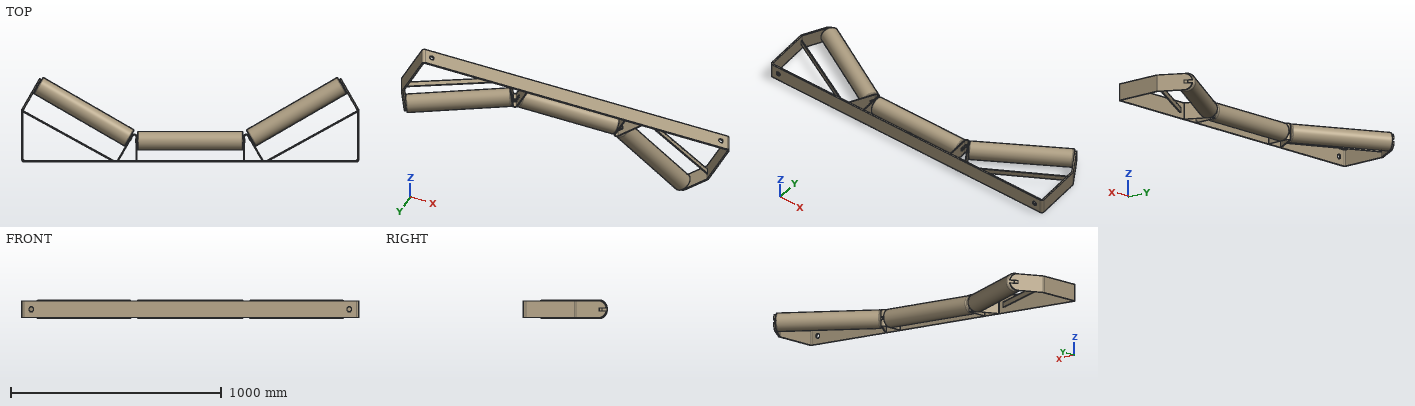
import cadquery as cq
import math


TOTAL_HEIGHT = 400.0

ROLLER_DIAMETER = 90.0
ROLLER_LENGTH = 500.0
ROLLER_EDGE_RADIUS = 5.0
ROLLER_GAP = 3.0
CENTER_AXIS_HEIGHT = 100.0
WING_ANGLE = 30.0
WING_CENTER_X = 504.0

STRIP_WIDTH = 80.0
FRAME_LENGTH = 1600.0
FRAME_THICKNESS = 8.0
BRACKET_THICKNESS = 5.0
BEND_RADIUS = 13.0
TIP_ABOVE_AXIS = 32.0
MOUNTING_HOLE_DIAMETER = 22.0
MOUNTING_HOLE_X = 754.0

SHAFT_WIDTH = 15.0
SHAFT_HEIGHT = 16.0
SHAFT_END_LENGTH = 10.0
SLOT_HEIGHT = 80.0
SHAFT_LENGTH = ROLLER_LENGTH + 2 * SHAFT_END_LENGTH
SLOT_LENGTH = ROLLER_LENGTH + 2 * (ROLLER_GAP + FRAME_THICKNESS)

BRACE_THICKNESS = 5.8
BRACE_WIDTH = 25.0
BRACE_TOP_Y = 243.0
BRACE_FOOT_X = 365.0

angle = math.radians(WING_ANGLE)
roller_end = ROLLER_LENGTH / 2

WING_CENTER_Y = (
    TOTAL_HEIGHT
    - ROLLER_EDGE_RADIUS
    - (roller_end - ROLLER_EDGE_RADIUS) * math.sin(angle)
    - (ROLLER_DIAMETER / 2 - ROLLER_EDGE_RADIUS) * math.cos(angle)
)


def wing_point(along, above):
    """Point on the left wing: distance along its roller axis from the middle, and above it."""
    return (
        -WING_CENTER_X + along * math.cos(angle) + above * math.sin(angle),
        WING_CENTER_Y - along * math.sin(angle) + above * math.cos(angle),
    )


def wing_point_at_x(along, x):
    """Point at the given X on the left wing's plate line, square to its axis."""
    above = (x - wing_point(along, 0)[0]) / math.sin(angle)
    return wing_point(along, above)


def wing_point_at_y(along, y):
    """Point at the given Y on the left wing's plate line, square to its axis."""
    above = (y - wing_point(along, 0)[1]) / math.cos(angle)
    return wing_point(along, above)


def mirrored(body):
    return body.mirror("YZ")


def on_wing(body):
    """Move a body from the origin, where its axis is X, to the left wing."""
    return body.rotate((0, 0, 0), (0, 0, 1), -WING_ANGLE).translate((-WING_CENTER_X, WING_CENTER_Y, 0))


def at_center(body):
    return body.translate((0, CENTER_AXIS_HEIGHT, 0))


def plate(points, width):
    return cq.Workplane("XY").polyline(points).close().extrude(width / 2, both=True)


def round_bend(body, outside, inside, thickness):
    """Round the outside and inside edges of one bend about a common axis."""
    for point, radius in ((outside, BEND_RADIUS), (inside, BEND_RADIUS - thickness)):
        body = body.edges(cq.selectors.NearestToPointSelector((*point, 0))).fillet(radius)
    return body


def slot_cutter():
    """Space for a shaft, open upwards."""
    return cq.Workplane("XY").box(SLOT_LENGTH, SLOT_HEIGHT, SHAFT_WIDTH).translate(
        (0, (SLOT_HEIGHT - SHAFT_HEIGHT) / 2, 0)
    )


def cut_slots(body):
    left_wing_slot = on_wing(slot_cutter())
    return body.cut(left_wing_slot).cut(mirrored(left_wing_slot)).cut(at_center(slot_cutter()))


frame_inner_along = -roller_end - ROLLER_GAP
frame_outer_along = frame_inner_along - FRAME_THICKNESS
wall_outer_x = -FRAME_LENGTH / 2
wall_inner_x = wall_outer_x + FRAME_THICKNESS


def make_frame():
    tip_outer = wing_point(frame_outer_along, TIP_ABOVE_AXIS)
    tip_inner = wing_point(frame_inner_along, TIP_ABOVE_AXIS)
    bend_outer = wing_point_at_x(frame_outer_along, wall_outer_x)
    bend_inner = wing_point_at_x(frame_inner_along, wall_inner_x)
    corner_outer = (wall_outer_x, 0)
    corner_inner = (wall_inner_x, FRAME_THICKNESS)

    left_half = [
        (0, 0), corner_outer, bend_outer, tip_outer,
        tip_inner, bend_inner, corner_inner, (0, FRAME_THICKNESS),
    ]
    half = plate(left_half, STRIP_WIDTH)
    half = round_bend(half, corner_outer, corner_inner, FRAME_THICKNESS)
    half = round_bend(half, bend_outer, bend_inner, FRAME_THICKNESS)

    tip_radius = STRIP_WIDTH / 2
    tip_square = cq.Workplane("YZ").rect(STRIP_WIDTH, STRIP_WIDTH).extrude(SLOT_LENGTH / 2, both=True)
    tip_square = tip_square.translate((0, tip_radius, 0))
    tip_round = cq.Workplane("YZ").circle(tip_radius).extrude(SLOT_LENGTH / 2, both=True)
    tip_waste = tip_square.cut(tip_round).translate((0, TIP_ABOVE_AXIS - tip_radius, 0))
    half = half.cut(on_wing(tip_waste))

    frame = half.union(mirrored(half))
    holes = (
        cq.Workplane("XZ")
        .pushPoints([(-MOUNTING_HOLE_X, 0), (MOUNTING_HOLE_X, 0)])
        .circle(MOUNTING_HOLE_DIAMETER / 2)
        .extrude(-FRAME_THICKNESS)
    )
    return cut_slots(frame.cut(holes))


def make_bracket():
    """Left bracket: an upright for the center roller bent over into a leaning leg for the wing roller."""
    upright_outer_x = -roller_end - ROLLER_GAP
    upright_inner_x = upright_outer_x - BRACKET_THICKNESS
    leg_outer_along = roller_end + ROLLER_GAP
    leg_inner_along = leg_outer_along + BRACKET_THICKNESS
    bend_outer = wing_point_at_x(leg_outer_along, upright_outer_x)
    bend_inner = wing_point_at_x(leg_inner_along, upright_inner_x)

    outline = [
        wing_point_at_y(leg_outer_along, FRAME_THICKNESS),
        bend_outer,
        (upright_outer_x, FRAME_THICKNESS),
        (upright_inner_x, FRAME_THICKNESS),
        bend_inner,
        wing_point_at_y(leg_inner_along, FRAME_THICKNESS),
    ]
    bracket = plate(outline, STRIP_WIDTH)
    bracket = round_bend(bracket, bend_outer, bend_inner, BRACKET_THICKNESS)
    return cut_slots(bracket)


def make_brace():
    """Left brace: a flat bar from the top of the frame wall down to the base."""
    drop = BRACE_TOP_Y - FRAME_THICKNESS
    run = -BRACE_FOOT_X - wall_inner_x
    length = math.hypot(drop, run)
    outline = [
        (wall_inner_x, BRACE_TOP_Y),
        (-BRACE_FOOT_X, FRAME_THICKNESS),
        (-BRACE_FOOT_X - BRACE_THICKNESS * length / drop, FRAME_THICKNESS),
        (wall_inner_x, BRACE_TOP_Y - BRACE_THICKNESS * length / run),
    ]
    return plate(outline, BRACE_WIDTH)


def make_roller():
    """Roller along X at the origin, with a flat-sided shaft end on each side."""
    barrel = cq.Workplane("YZ").circle(ROLLER_DIAMETER / 2).extrude(ROLLER_LENGTH)
    barrel = barrel.translate((-roller_end, 0, 0))
    barrel = barrel.faces("<X or >X").edges().fillet(ROLLER_EDGE_RADIUS)
    shaft = cq.Workplane("XY").box(SHAFT_LENGTH, SHAFT_HEIGHT, SHAFT_WIDTH)
    return barrel.union(shaft)


frame = make_frame()
left_bracket = make_bracket()
left_brace = make_brace()
left_roller = on_wing(make_roller())
center_roller = at_center(make_roller())

bodies = [frame, center_roller]
for left_body in (left_bracket, left_brace, left_roller):
    bodies += [left_body, mirrored(left_body)]

result = cq.Compound.makeCompound([body.val() for body in bodies])